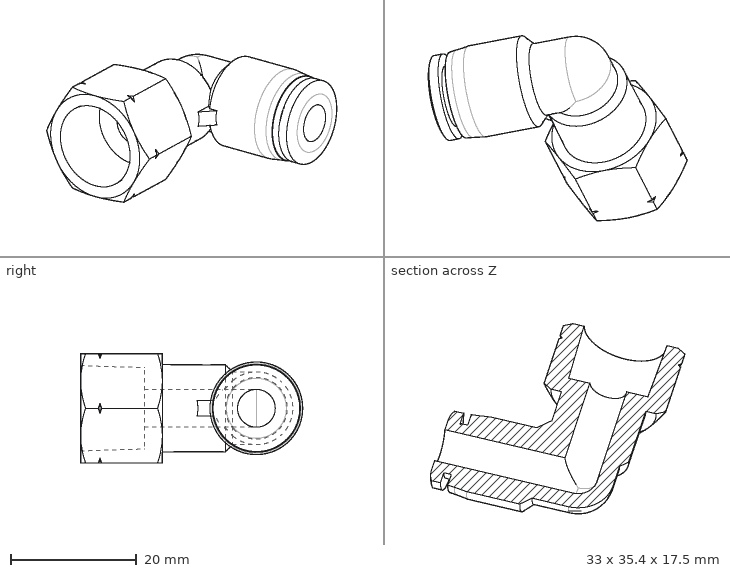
import cadquery as cq
import math


overall_length = 35.4

elbow_radius = 5.8
passage_radius = 3.0

sleeve_radius = 7.4
sleeve_cone_start = 6.02
sleeve_cone_end = sleeve_cone_start + sleeve_radius - elbow_radius
sleeve_taper_start = 16.45
sleeve_taper_end = 18.5
sleeve_taper_radius = 7.1
sleeve_end = 19.7
sleeve_end_radius = 7.0
sleeve_edge_break = 0.07
neck_radius = 4.92
collar_start = 20.85
collar_rim = 22.37
collar_radius = 6.9
collar_dome_mid = 22.75
collar_dome_mid_radius = 6.1
tube_leg_end = 22.95
collar_face_radius = 4.78

shank_radius = 6.97
shank_cone_start = 3.8
shank_cone_end = shank_cone_start + shank_radius - elbow_radius
shank_root_radius = 7.0

nut_across_flats = 17.45
nut_length = 13.03
nut_end = overall_length - sleeve_radius
nut_start = nut_end - nut_length
nut_apothem = nut_across_flats / 2
nut_corner_radius = nut_apothem / math.cos(math.pi / 6)
nut_chamfer_height = (nut_corner_radius - nut_apothem) * math.tan(math.radians(30))
notch_position = 24.92
notch_depth = 0.42
notch_half_width = 0.3

socket_mouth_radius = 6.83
socket_floor_radius = 6.5
socket_taper = 16
socket_depth = (socket_mouth_radius - socket_floor_radius) * 2 * socket_taper

web_reach = 16.32
web_thickness = 2.48


def revolve_about_y(points):
    """Revolve (radius, distance towards -Y) points about the Y axis."""
    profile = cq.Workplane("XY").polyline([(radius, -distance) for radius, distance in points]).close()
    return profile.revolve(360, (0, 0), (0, 1))


def make_tube_leg():
    profile = (
        cq.Workplane("XY")
        .moveTo(0, 0)
        .lineTo(0, elbow_radius)
        .lineTo(sleeve_cone_start, elbow_radius)
        .lineTo(sleeve_cone_end, sleeve_radius)
        .lineTo(sleeve_taper_start, sleeve_radius)
        .lineTo(sleeve_taper_end, sleeve_taper_radius)
        .lineTo(sleeve_end - sleeve_edge_break, sleeve_end_radius)
        .lineTo(sleeve_end, sleeve_end_radius - sleeve_edge_break)
        .lineTo(sleeve_end, neck_radius)
        .lineTo(collar_start, neck_radius)
        .lineTo(collar_start, collar_radius)
        .lineTo(collar_rim, collar_radius)
        .threePointArc((collar_dome_mid, collar_dome_mid_radius), (tube_leg_end, collar_face_radius))
        .lineTo(tube_leg_end, 0)
        .close()
    )
    return profile.revolve(360, (0, 0), (1, 0))


def make_shank():
    return revolve_about_y([
        (0, 0),
        (elbow_radius, 0),
        (elbow_radius, shank_cone_start),
        (shank_radius, shank_cone_end),
        (shank_root_radius, nut_start),
        (0, nut_start),
    ])


def make_nut():
    hexagon = (
        cq.Workplane("XZ")
        .workplane(offset=nut_start)
        .polygon(6, 2 * nut_corner_radius)
        .extrude(nut_length)
    )
    blank = revolve_about_y([
        (0, nut_start),
        (nut_apothem, nut_start),
        (nut_corner_radius, nut_start + nut_chamfer_height),
        (nut_corner_radius, notch_position - notch_half_width),
        (nut_corner_radius - notch_depth, notch_position),
        (nut_corner_radius, notch_position + notch_half_width),
        (nut_corner_radius, nut_end - nut_chamfer_height),
        (nut_apothem, nut_end),
        (0, nut_end),
    ])
    return hexagon.intersect(blank)


def make_web():
    return (
        cq.Workplane("XY")
        .polyline([(0, 0), (web_reach, 0), (0, -web_reach)])
        .close()
        .extrude(web_thickness / 2, both=True)
    )


def make_passage():
    along_x = cq.Workplane("YZ").circle(passage_radius).extrude(tube_leg_end)
    along_y = cq.Workplane("XZ").circle(passage_radius).extrude(nut_end)
    return along_x.union(along_y).union(cq.Workplane("XY").sphere(passage_radius))


def make_socket():
    return revolve_about_y([
        (0, nut_end - socket_depth),
        (socket_floor_radius, nut_end - socket_depth),
        (socket_mouth_radius, nut_end),
        (0, nut_end),
    ])


body = cq.Workplane("XY").sphere(elbow_radius)
for piece in (make_tube_leg(), make_shank(), make_nut(), make_web()):
    body = body.union(piece)

result = body.cut(make_passage()).cut(make_socket())